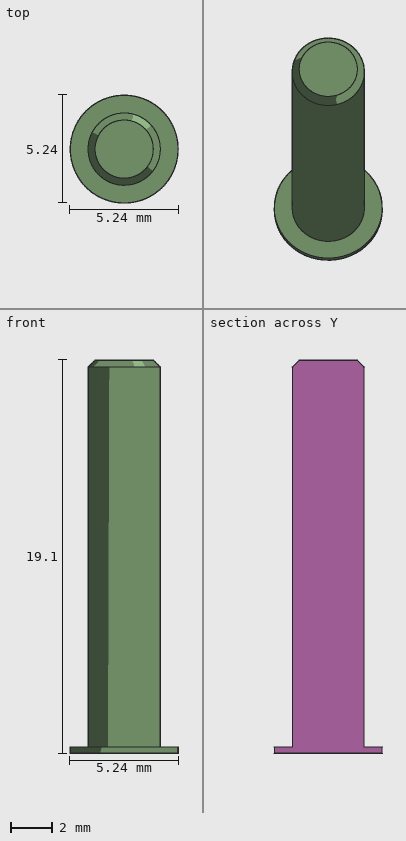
import cadquery as cq

total_length = 19.05
head_diameter = 5.24
head_thickness = 0.3
shank_diameter = 3.5
tip_chamfer = 0.35

head = cq.Workplane("XY").circle(head_diameter / 2).extrude(head_thickness)

shank = (
    cq.Workplane("XY")
    .circle(shank_diameter / 2)
    .extrude(total_length)
    .faces(">Z")
    .chamfer(tip_chamfer)
)

result = head.union(shank)